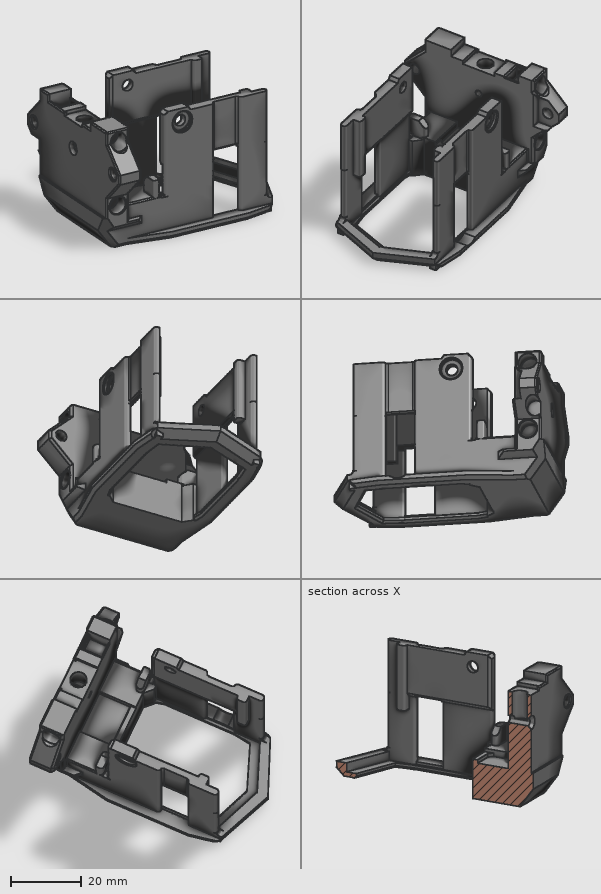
import cadquery as cq
import math


plate_front = 0.67
plate_back = 8.18
plate_half = 18.5
plate_top = 37.58
plate_bottom = 10.86
front_chamfer = 0.42
rear_chamfer = 0.7
wing_tip = 25.42
wing_top = 26.9
wing_bottom = 24.0
wing_reach = wing_tip - plate_half

step_level = 35.3
step_left = -13.5
step_right = 9.3
saddle_level = 34.2
saddle_half = 5.3
saddle_front_half = 4.8
saddle_front_depth = 0.75

wing_hole_x = 21.67
wing_hole_d = 3.4
wing_hole_rim_d = 4.2
centre_z = 25.9
screw_d = 2.09
screw_rim_d = 4.1
bore_d = 4.7
bore_y = 4.5
side_hole_d = 5.2
side_hole_rim_d = 5.6
side_hole_end = 14.0
side_hole_levels = (14.15, 34.2)
side_hole_rim_depths = (0.3, -1.3)

scoop_d = 4.7
scoop_y = 2.13
scoop_z = 20.0
wing_pocket_y = 5.6
wing_pocket_floor = 21.7
wing_pocket_roof = 30.4

duct_right = -8.8
duct_front = 1.85
duct_depth = 4.0
duct_chamfer = 0.45

belly_level = 6.05
belly_half = 16.6
belly_bottom_y = 4.38
corner_top_half = 17.5
corner_low_half = 14.74
corner_ratio = 1.09
ear_top = 8.35
ear_side_bottom = 7.72
ear_back = 13.4

block_back = 19.7
block_top = 13.0
block_chamfer = 0.42
channel_left = -6.14
channel_right = 7.18
channel_step_y = 18.0
channel_depth = 1.0
channel_corner = 1.25
tab_front = 17.4
tab_inner = 10.6
tab_slope_x = 12.85
tab_top = 18.16
tab_corner = 1.0
tab_front_corner = 0.5
gap_level = 12.3

arm_front = 21.1
arm_back = 55.4
arm_outer = 16.6
arm_inner = 13.44
arm_thin_inner = 14.65
arm_top = plate_top
ear_crest = 38.63
crest_front = 22.1
crest_back = 29.0
crest_ramp = 0.8
arm_lead = (arm_outer - arm_thin_inner) / 2
arm_back_corner = 0.97
arm_lead_side = 0.5
thick_bottom = 23.1
rib_front = 48.2
rib_back = 51.2
rib_inner = 12.3
rib_bottom = 18.0
rib_corner = 0.8
panel_front = 37.6
panel_back = 46.1
panel_outer = 15.3
panel_bottom = 22.4
jamb_radius = (arm_outer - arm_thin_inner) / 2
jamb_slope = 0.7
panel_bevel = 0.45
pivot_y = 27.0
pivot_z = 34.4
pivot_d = 3.4
pivot_cbore_d = 6.0
pivot_rim_d = 6.7
pivot_cbore_depth = 1.2
foot_radius = 1.1

flange_half = 19.12
flange_top = 2.3
flange_bevel = 1.04
flange_front = 9.0
flange_wide_front = 22.2
flange_wide_back = 47.7
flange_tail = (17.6, 55.9)
chevron_corner_y = 56.95
chevron_tip = 63.81
chevron_top = 4.2
ledge_level = 1.5
ledge_half = 15.2
ledge_corner_y = 54.4
opening_bevel = 0.7
ledge_tip = 60.4
opening_corner_y = 52.0
opening_tip = 57.2
opening_half = 14.2
opening_wide_front = 25.0
opening_wide_back = 46.5
relief_d = 7.09
relief_y = 42.0
relief_depth = 0.88

overlap = 0.5
beyond = 40.0


def box(x0, x1, y0, y1, z0, z1):
    return cq.Workplane("XY").box(x1 - x0, y1 - y0, z1 - z0, centered=False).translate((x0, y0, z0))


def plan_prism(points, z0, z1):
    return cq.Workplane("XY").workplane(offset=z0).polyline(points).close().extrude(z1 - z0)


def front_prism(points, y0, y1):
    return cq.Workplane("XZ", origin=(0, y0, 0)).polyline(points).close().extrude(y0 - y1)


def side_prism(points, x0, x1):
    return cq.Workplane("YZ", origin=(x0, 0, 0)).polyline(points).close().extrude(x1 - x0)


def mirrored_points(right_points):
    return right_points + [(-x, y) for x, y in reversed(right_points) if x != 0]


def cylinder(start, direction, length, diameter):
    return cq.Workplane(cq.Solid.makeCylinder(diameter / 2, length, cq.Vector(*start), cq.Vector(*direction)))


def cone(start, direction, length, diameter, end_diameter):
    return cq.Workplane(
        cq.Solid.makeCone(diameter / 2, end_diameter / 2, length, cq.Vector(*start), cq.Vector(*direction)))


def both_sides(solid):
    return solid.union(solid.mirror("YZ"))


def underside_bevel(start, end, size):
    """45 degree cutter under the edge start-end, with the outside on the right of its direction."""
    dx = end[0] - start[0]
    dy = end[1] - start[1]
    length = math.hypot(dx, dy)
    along = (dx / length, dy / length)
    plane = cq.Plane(
        origin=(start[0] - along[0] * beyond, start[1] - along[1] * beyond, 0),
        xDir=(along[1], -along[0], 0),
        normal=(along[0], along[1], 0))
    reach = size + overlap
    triangle = [(-reach, overlap), (overlap, -reach), (overlap, overlap)]
    return cq.Workplane(plane).polyline(triangle).close().extrude(length + 2 * beyond)


def make_plate():
    outline = [
        (-plate_half, plate_bottom),
        (-plate_half, wing_bottom - wing_reach),
        (-wing_tip, wing_bottom),
        (-wing_tip, wing_top),
        (-plate_half, wing_top + wing_reach),
        (-plate_half, plate_top),
        (step_left, plate_top),
        (step_left, step_level),
        (step_right, step_level),
        (step_right, plate_top),
        (plate_half, plate_top),
        (plate_half, wing_top + wing_reach),
        (wing_tip, wing_top),
        (wing_tip, wing_bottom),
        (plate_half, wing_bottom - wing_reach),
        (plate_half, plate_bottom),
    ]
    plate = front_prism(outline, plate_front, plate_back)
    front_edges = plate.faces("<Y").edges("not(<Z)").vals()
    upright_edges = plate.faces(">Y").edges("not(#Z)").vals()
    rear_edges = [edge for edge in upright_edges if abs(edge.Center().x) > plate_half - overlap]
    plate = plate.newObject(front_edges).chamfer(front_chamfer)
    plate = plate.newObject(rear_edges).chamfer(rear_chamfer)
    for side in (-1, 1):
        plate = plate.cut(front_prism([
            (side * plate_half, plate_top),
            (side * (plate_half - front_chamfer), plate_top),
            (side * plate_half, plate_top - front_chamfer),
        ], 0, plate_back))
    return plate


def cut_plate(part):
    part = part.cut(box(-saddle_half, saddle_half, plate_front + saddle_front_depth, plate_back,
                        saddle_level, plate_top))
    part = part.cut(box(-saddle_front_half, saddle_front_half, 0, plate_back, saddle_level, plate_top))

    part = part.cut(cylinder((0, bore_y, centre_z), (0, 0, 1), saddle_level - centre_z, bore_d))
    part = part.cut(cylinder((0, 0, centre_z), (0, 1, 0), plate_back, screw_d))
    rim_depth = (screw_rim_d - screw_d) / 2
    part = part.cut(cone((0, plate_front, centre_z), (0, 1, 0), rim_depth, screw_rim_d, screw_d))

    for side in (-1, 1):
        x = side * wing_hole_x
        part = part.cut(cylinder((x, 0, centre_z), (0, 1, 0), plate_back + overlap, wing_hole_d))
        rim = (wing_hole_rim_d - wing_hole_d) / 2
        part = part.cut(cone((x, plate_front, centre_z), (0, 1, 0), rim, wing_hole_rim_d, wing_hole_d))
        for level, depth in zip(side_hole_levels, side_hole_rim_depths):
            start = (side * wing_tip, bore_y, level)
            inward = (-side, 0, 0)
            part = part.cut(cylinder(start, inward, wing_tip - side_hole_end, side_hole_d))
            part = part.cut(cylinder(start, inward, wing_reach + depth, side_hole_rim_d))

    scoop = cylinder((-wing_tip, scoop_y, scoop_z), (1, 0, 0), wing_reach, scoop_d)
    part = part.cut(scoop)

    slant = plate_back - wing_pocket_y
    pocket = [
        (wing_pocket_y, wing_pocket_floor),
        (plate_back, wing_pocket_floor),
        (plate_back, wing_pocket_roof + slant),
        (wing_pocket_y, wing_pocket_roof),
    ]
    part = part.cut(side_prism(pocket, -wing_tip, -plate_half))

    duct_back = plate_back - duct_chamfer
    duct = box(step_left, duct_right, duct_front, duct_back, step_level - duct_depth, step_level)
    funnel = [
        (step_left, step_level - duct_chamfer),
        (duct_right, step_level - duct_chamfer),
        (duct_right + duct_chamfer, step_level),
        (step_left, step_level),
    ]
    return part.cut(duct).cut(front_prism(funnel, duct_front - duct_chamfer, plate_back))


def belly_section(half, front, z):
    return [
        cq.Vector(x, y, z) for x, y in mirrored_points([
            (half, front),
            (plate_half, front + (plate_half - half) * corner_ratio),
            (plate_half, plate_back),
        ])
    ]


def make_belly():
    def loft(low, high):
        wires = [cq.Wire.makePolygon(points + points[:1]) for points in (low, high)]
        return cq.Workplane(cq.Solid.makeLoft(wires, True))

    floor = belly_section(corner_low_half, belly_bottom_y, 0)
    middle = belly_section(corner_low_half, 0, belly_level)
    top = belly_section(corner_top_half, 0, plate_bottom)
    belly = loft(floor, middle).union(loft(middle, top))
    outline = mirrored_points([
        (belly_half, 0),
        (belly_half, belly_level),
        (plate_half, ear_side_bottom),
        (plate_half, plate_bottom),
    ])
    belly = belly.intersect(front_prism(outline, 0, plate_back))

    rear_corner = plan_prism([
        (plate_half, plate_back),
        (plate_half, plate_back - rear_chamfer),
        (plate_half - rear_chamfer, plate_back),
    ], ear_top, plate_bottom)
    return belly.cut(both_sides(rear_corner))


def make_ears():
    outline = mirrored_points([
        (belly_half, belly_level),
        (plate_half, ear_side_bottom),
        (plate_half, ear_top),
    ])
    ears = front_prism(outline, plate_back - overlap, ear_back)
    reach = plate_half - belly_half
    plan = mirrored_points([
        (plate_half, plate_back - overlap),
        (plate_half, ear_back - reach),
        (belly_half, ear_back),
    ])
    return ears.intersect(plan_prism(plan, 0, plate_bottom))


def make_block():
    block = box(-belly_half, belly_half, plate_back - overlap, block_back, 0, block_top)
    block = block.edges("|Y and >Z").chamfer(block_chamfer)
    gusset = plan_prism([
        (arm_outer, block_back - overlap),
        (arm_outer, crest_front),
        (arm_inner, crest_front),
        (arm_inner - (crest_front - block_back), block_back),
        (arm_inner - (crest_front - block_back), block_back - overlap),
    ], 0, gap_level)
    web = plan_prism([
        (belly_half, plate_back),
        (belly_half + block_chamfer, plate_back),
        (belly_half, plate_back + block_chamfer),
    ], ear_top - overlap, block_top)
    block = block.union(both_sides(gusset)).union(both_sides(web))

    slot_radius = (arm_front - block_back) / 2
    cradle = box(arm_thin_inner, arm_outer, block_back, arm_front, gap_level, gap_level + slot_radius)
    slot_start = (arm_thin_inner, block_back + slot_radius, gap_level + slot_radius)
    cradle = cradle.cut(cylinder(slot_start, (1, 0, 0), arm_outer - arm_thin_inner, 2 * slot_radius))
    block = block.union(both_sides(cradle))

    block = block.cut(box(channel_left, channel_right, plate_back, block_back,
                          block_top - channel_depth, block_top))
    pit = plan_prism([
        (channel_left, plate_back),
        (channel_right, plate_back),
        (channel_right, channel_step_y - channel_corner),
        (channel_right - channel_corner, channel_step_y),
        (channel_left, channel_step_y),
    ], block_top - 2 * channel_depth, block_top)
    return block.cut(pit)


def make_tab():
    slope = tab_slope_x - tab_inner
    outline = [
        (arm_outer, gap_level),
        (arm_outer, tab_top),
        (tab_slope_x, tab_top),
        (tab_inner, tab_top - slope),
        (tab_inner, gap_level),
    ]
    tab = front_prism(outline, tab_front, block_back)
    tab = tab.edges("|Z and <X").fillet(tab_corner)
    tab = tab.edges("|Z and >X and >Y").fillet(tab_corner)
    return both_sides(tab.edges("|Z and >X and <Y").fillet(tab_front_corner))


def arm_plan():
    return (
        cq.Workplane("XY")
        .moveTo(arm_inner + arm_lead_side, arm_front)
        .lineTo(arm_outer - arm_lead, arm_front)
        .radiusArc((arm_outer, arm_front + arm_lead), -arm_lead)
        .lineTo(arm_outer, panel_front - jamb_radius)
        .radiusArc((arm_outer - jamb_radius, panel_front), -jamb_radius)
        .lineTo(panel_outer, panel_front + jamb_slope)
        .lineTo(panel_outer, panel_back - jamb_slope)
        .lineTo(arm_outer - jamb_radius, panel_back)
        .radiusArc((arm_outer, panel_back + jamb_radius), -jamb_radius)
        .lineTo(arm_outer, arm_back)
        .lineTo(arm_thin_inner, arm_back)
        .lineTo(arm_thin_inner, rib_back)
        .lineTo(arm_inner, rib_back)
        .lineTo(arm_inner, arm_front + arm_lead)
        .close()
    )


def make_pillar(front, back, top):
    middle_x = (arm_thin_inner + arm_outer) / 2
    middle_y = (front + back) / 2
    thickness = arm_outer - arm_thin_inner
    plan = cq.Workplane("XY").center(middle_x, middle_y).slot2D(back - front, thickness, 90)
    return plan.extrude(top)


def make_arm():
    arm = arm_plan().extrude(ear_crest)
    arm = arm.edges("|Z and >Y").fillet(arm_back_corner)

    crest_drop = ear_crest - arm_top
    profile = [
        (arm_front, 0),
        (arm_front, arm_top),
        (arm_front + crest_drop, ear_crest),
        (crest_back, ear_crest),
        (crest_back + crest_ramp, arm_top),
        (arm_back, arm_top),
        (arm_back, 0),
    ]
    arm = arm.intersect(side_prism(profile, 0, flange_half))

    thinning = arm_thin_inner - arm_inner
    pillar_top = thick_bottom - thinning
    arm = arm.cut(front_prism([
        (arm_inner, pillar_top),
        (arm_thin_inner, pillar_top),
        (arm_inner, thick_bottom),
    ], arm_front, arm_back))
    arm = arm.cut(box(0, arm_outer, arm_front, arm_back, 0, pillar_top))
    arm = arm.union(make_pillar(arm_front, panel_front, pillar_top))
    arm = arm.union(make_pillar(panel_back, arm_back, pillar_top))

    arm = arm.cut(box(0, arm_outer, panel_front, panel_back, 0, panel_bottom))
    arm = arm.cut(front_prism([
        (panel_outer - panel_bevel, panel_bottom),
        (arm_outer, panel_bottom),
        (arm_outer, panel_bottom + panel_bevel),
        (panel_outer, panel_bottom + panel_bevel),
    ], panel_front, panel_back))

    rib = box(rib_inner, arm_thin_inner + overlap, rib_front, rib_back, rib_bottom, arm_top)
    arm = arm.union(rib.edges("|Z and <X").fillet(rib_corner))

    foot = (
        cq.Workplane("YZ", origin=(arm_thin_inner, 0, 0))
        .moveTo(arm_back - overlap - arm_back_corner, 0)
        .lineTo(arm_back + foot_radius, 0)
        .lineTo(arm_back + foot_radius, chevron_top)
        .radiusArc((arm_back, chevron_top + foot_radius), foot_radius)
        .lineTo(arm_back - overlap - arm_back_corner, chevron_top + foot_radius)
        .close()
        .extrude(arm_outer - arm_thin_inner)
    )
    arm = arm.union(foot)

    arm = arm.cut(cylinder((0, pivot_y, pivot_z), (1, 0, 0), beyond, pivot_d))
    seat = arm_outer - pivot_cbore_depth
    arm = arm.cut(cylinder((seat, pivot_y, pivot_z), (1, 0, 0), pivot_cbore_depth, pivot_cbore_d))
    rim = (pivot_rim_d - pivot_cbore_d) / 2
    return arm.cut(cone((arm_outer, pivot_y, pivot_z), (-1, 0, 0), rim, pivot_rim_d, pivot_cbore_d))


def bevel_flange(solid):
    right = [
        (belly_half, flange_front),
        (flange_half, flange_wide_front),
        (flange_half, flange_wide_back),
        flange_tail,
    ]
    for start, end in zip(right, right[1:]):
        solid = solid.cut(both_sides(underside_bevel(start, end, flange_bevel)))
    edge = underside_bevel((arm_outer, chevron_corner_y), (0, chevron_tip), flange_top)
    return solid.cut(both_sides(edge))


def make_flange():
    plan = mirrored_points([
        (belly_half, flange_front),
        (flange_half, flange_wide_front),
        (flange_half, flange_wide_back),
        flange_tail,
        (arm_outer, chevron_corner_y),
    ])
    chevron = mirrored_points([
        (arm_outer, opening_corner_y),
        (arm_outer, chevron_corner_y),
        (0, chevron_tip),
    ])
    flange = plan_prism(plan, 0, flange_top).union(plan_prism(chevron, 0, chevron_top))
    flange = bevel_flange(flange)

    ledge = mirrored_points([
        (ledge_half, crest_front),
        (ledge_half, ledge_corner_y),
        (0, ledge_tip),
    ])
    opening = mirrored_points([
        (arm_inner - (crest_front - block_back), block_back),
        (arm_inner, crest_front),
        (opening_half, opening_wide_front),
        (opening_half, opening_wide_back),
        (arm_inner, opening_corner_y),
        (0, opening_tip),
    ])
    flange = flange.cut(plan_prism(ledge, ledge_level, chevron_top))
    flange = flange.cut(plan_prism(opening, 0, chevron_top))
    mouth = cq.Workplane("XY").polyline(opening).close().offset2D(opening_bevel, "intersection")
    flange = flange.cut(mouth.extrude(opening_bevel, taper=45))

    relief_z = flange_top - relief_depth + relief_d / 2
    relief = cylinder((-flange_half, relief_y, relief_z), (1, 0, 0), flange_half - panel_outer, relief_d)
    return flange.cut(relief)


def make_front():
    lower = make_belly().union(make_ears()).union(make_block())
    side_edge = underside_bevel((belly_half, 0), (belly_half, flange_front), flange_bevel)
    lower = lower.cut(both_sides(side_edge))
    return cut_plate(lower.union(make_plate()))


arms = both_sides(make_arm().cut(box(0, beyond, 0, beyond, -beyond, ledge_level)))
result = make_front().union(make_flange()).union(arms).union(make_tab())